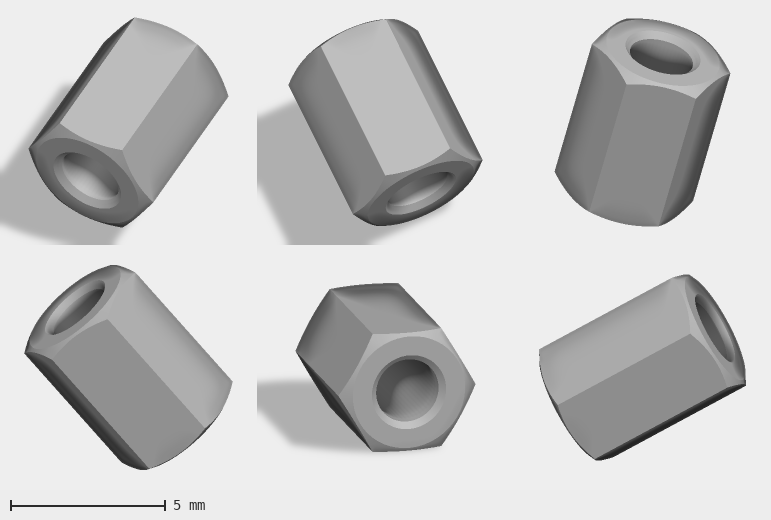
import cadquery as cq
import math

length = 5.5
across_flats = 4.0
end_face_diameter = 3.78
corner_chamfer_angle = 30.0
bore_diameter = 2.1
countersink_diameter = 2.495

half_length = length / 2
across_corners = across_flats / math.cos(math.radians(30))
corner_radius = across_corners / 2
end_face_radius = end_face_diameter / 2
corner_chamfer_depth = (corner_radius - end_face_radius) * math.tan(math.radians(corner_chamfer_angle))
bore_radius = bore_diameter / 2
countersink_radius = countersink_diameter / 2
countersink_depth = countersink_radius - bore_radius


def revolve_about_y(half_profile):
    """Revolve (radius, y) points given for y >= 0, mirrored to y < 0, about the Y axis."""
    mirrored = [(radius, -y) for radius, y in reversed(half_profile)]
    outline = [(0, half_length)] + half_profile + mirrored + [(0, -half_length)]
    return cq.Workplane("XY").polyline(outline).close().revolve(360, (0, 0, 0), (0, 1, 0))


hex_bar = cq.Workplane("XZ").polygon(6, across_corners).extrude(half_length, both=True)

corner_envelope = revolve_about_y([
    (end_face_radius, half_length),
    (corner_radius, half_length - corner_chamfer_depth),
])

countersunk_bore = revolve_about_y([
    (countersink_radius, half_length),
    (bore_radius, half_length - countersink_depth),
])

result = hex_bar.intersect(corner_envelope).cut(countersunk_bore)